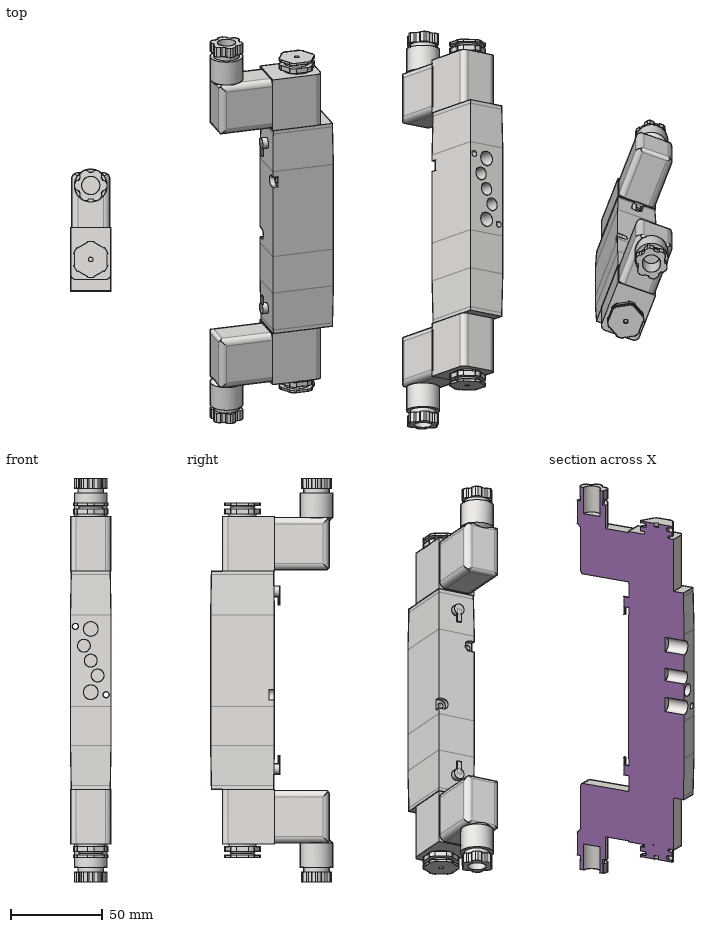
import math

import cadquery as cq


WIDTH = 22.3
DEPTH = 35.0
BODY_LENGTH = 50.0
SPACER_LENGTH = 21.5
CAP_LENGTH = 24.0
CAP_RIM = 2.0
CAP_DRAFT = 1.0
STACK_HALF = (BODY_LENGTH + SPACER_LENGTH) / 2
CAP_END = STACK_HALF + CAP_LENGTH
BODY_BOTTOM = STACK_HALF - BODY_LENGTH
BODY_MID_Z = STACK_HALF - BODY_LENGTH / 2
MID_Y = DEPTH / 2

MAIN_PORT_DIAMETER = 7.0
EXHAUST_PORT_DIAMETER = 8.0
PORT_DEPTH = 12.0
PORT_PITCH = 8.15
PORT_STAGGER = 3.75
EXHAUST_SPACING = 17.3

MOUNT_DIAMETER = 3.2
MOUNT_X = 8.4
MOUNT_SPACING = 18.7
HEAD_RECESS_DIAMETER = 6.0
HEAD_RECESS_DEPTH = 3.0

LEVER_PIN_DIAMETER = 6.0
LEVER_PROJECTION = 3.0
LEVER_Z = 48.6
LEVER_ARM_REACH = 7.3
LEVER_ARM_THICKNESS = 1.0
LEVER_ARM_WIDTH = 2.5

COIL_WIDTH = 22.0
COIL_LENGTH = 30.0
COIL_FRONT_Y = 6.5
COIL_EDGE_RADIUS = 3.0
COIL_END = CAP_END + COIL_LENGTH

NUT_DIAMETER = 19.8
NUT_NECK_DIAMETER = 15.0
NUT_NECK_HEIGHT = 1.3
NUT_LOWER_FLANGE_TOP = 4.0
NUT_UPPER_FLANGE_BOTTOM = 6.0
NUT_HEIGHT = 7.3
NUT_GROOVE_DIAMETER = 14.0
NUT_WAIST_DIAMETER = 12.5
NUT_ACROSS_NOTCHES = 18.0
NUT_NOTCH_WIDTH = 6.4
NUT_HOLE_DIAMETER = 2.5
NUT_HOLE_DEPTH = 2.0

PLUG_WIDTH = 21.0
PLUG_LENGTH = 28.8
PLUG_BACK_Y = 65.0
PLUG_EDGE_RADIUS = 3.5
PLUG_END_RADIUS = 2.0
PLUG_MID_Z = CAP_END + COIL_LENGTH / 2
PLUG_TOP = PLUG_MID_Z + PLUG_LENGTH / 2

GLAND_Y = 58.0
GLAND_DIAMETER = 18.0
GLAND_NECK_DIAMETER = 14.0
GLAND_TAPER_HEIGHT = 2.0
GLAND_BORE_DIAMETER = 10.0
GLAND_BORE_DEPTH = 15.0
GLAND_TOP = 110.5
GLAND_NUT_HEIGHT = 5.5
GLAND_NECK_HEIGHT = 2.5
GLAND_NUT_BOTTOM = GLAND_TOP - GLAND_NUT_HEIGHT
GLAND_SHOULDER = GLAND_NUT_BOTTOM - GLAND_NECK_HEIGHT
GLAND_ACROSS_FLATS = 16.2
GLAND_NOTCH_FLOOR_WIDTH = 2.0
GLAND_NOTCH_MOUTH_WIDTH = 3.6
GLAND_NOTCH_DEPTH = 0.8

SIDES = 6


def block(x_size, y_min, y_max, z_min, z_max):
    """Box centred on X between the given Y and Z limits."""
    box = cq.Workplane("XY").box(x_size, y_max - y_min, z_max - z_min)
    return box.translate((0, (y_min + y_max) / 2, (z_min + z_max) / 2))


def cylinder_z(diameter, y, z_min, z_max):
    """Cylinder along Z on the plane X = 0."""
    return cq.Workplane("XY", origin=(0, y, z_min)).circle(diameter / 2).extrude(z_max - z_min)


def cylinder_y(diameter, x, z, y_min, y_max):
    """Cylinder along Y."""
    solid = cq.Solid.makeCylinder(diameter / 2, y_max - y_min, cq.Vector(x, y_min, z), cq.Vector(0, 1, 0))
    return cq.Workplane(obj=solid)


def join(solid, *others):
    """Union that keeps the seam lines between neighbouring parts."""
    for other in others:
        solid = solid.union(other, clean=False)
    return solid


def cut_ports(body):
    ports = [
        (0, EXHAUST_SPACING, EXHAUST_PORT_DIAMETER),
        (-PORT_STAGGER, PORT_PITCH, MAIN_PORT_DIAMETER),
        (0, 0, MAIN_PORT_DIAMETER),
        (PORT_STAGGER, -PORT_PITCH, MAIN_PORT_DIAMETER),
        (0, -EXHAUST_SPACING, EXHAUST_PORT_DIAMETER),
    ]
    for x, z_offset, diameter in ports:
        body = body.cut(cylinder_y(diameter, x, BODY_MID_Z + z_offset, 0, PORT_DEPTH))
    return body


def cut_mounting_holes(body):
    recess_floor = DEPTH - HEAD_RECESS_DEPTH
    for side in (-1, 1):
        x = side * MOUNT_X
        z = BODY_MID_Z - side * MOUNT_SPACING
        hole = cylinder_y(MOUNT_DIAMETER, x, z, 0, DEPTH)
        head = cylinder_y(HEAD_RECESS_DIAMETER, x, z, recess_floor, DEPTH)
        run_out = block(
            HEAD_RECESS_DIAMETER,
            recess_floor,
            DEPTH,
            z - HEAD_RECESS_DIAMETER / 2,
            z + HEAD_RECESS_DIAMETER / 2,
        ).translate((x + side * HEAD_RECESS_DIAMETER / 2, 0, 0))
        body = body.cut(hole).cut(head).cut(run_out)
    return body


def make_body():
    body = block(WIDTH, 0, DEPTH, BODY_BOTTOM, STACK_HALF)
    return cut_mounting_holes(cut_ports(body))


def make_cap():
    """End cap drafted on all four sides, with a straight rim at its outer end."""
    drafted_length = CAP_LENGTH - CAP_RIM
    inset = drafted_length * math.tan(math.radians(CAP_DRAFT))
    drafted = (
        cq.Workplane("XY", origin=(0, MID_Y, STACK_HALF))
        .rect(WIDTH, DEPTH)
        .extrude(drafted_length, taper=CAP_DRAFT)
    )
    rim = block(WIDTH - 2 * inset, inset, DEPTH - inset, CAP_END - CAP_RIM, CAP_END)
    return join(drafted, rim)


def make_lever():
    outer_y = DEPTH + LEVER_PROJECTION
    pin = cylinder_y(LEVER_PIN_DIAMETER, 0, LEVER_Z, MID_Y, outer_y)
    arm = block(LEVER_ARM_WIDTH, outer_y - LEVER_ARM_THICKNESS, outer_y, LEVER_Z - LEVER_ARM_REACH, LEVER_Z)
    return join(pin, arm)


def make_coil():
    coil = block(COIL_WIDTH, COIL_FRONT_Y, DEPTH, CAP_END, COIL_END)
    return coil.faces("<Y").edges("|Z").fillet(COIL_EDGE_RADIUS)


def make_coil_nut():
    waist_height = (NUT_LOWER_FLANGE_TOP + NUT_UPPER_FLANGE_BOTTOM) / 2
    profile = [
        (0, 0),
        (NUT_NECK_DIAMETER / 2, 0),
        (NUT_NECK_DIAMETER / 2, NUT_NECK_HEIGHT),
        (NUT_DIAMETER / 2, NUT_NECK_HEIGHT),
        (NUT_DIAMETER / 2, NUT_LOWER_FLANGE_TOP),
        (NUT_GROOVE_DIAMETER / 2, NUT_LOWER_FLANGE_TOP),
        (NUT_WAIST_DIAMETER / 2, waist_height),
        (NUT_GROOVE_DIAMETER / 2, NUT_UPPER_FLANGE_BOTTOM),
        (NUT_DIAMETER / 2, NUT_UPPER_FLANGE_BOTTOM),
        (NUT_DIAMETER / 2, NUT_HEIGHT),
        (0, NUT_HEIGHT),
    ]
    nut = cq.Workplane("XZ").polyline(profile).close().revolve(360, (0, 0), (0, 1))
    notch = (
        cq.Workplane("XY")
        .box(NUT_DIAMETER, NUT_NOTCH_WIDTH, NUT_HEIGHT, centered=(False, True, False))
        .translate((NUT_ACROSS_NOTCHES / 2, 0, 0))
    )
    for index in range(SIDES):
        nut = nut.cut(notch.rotate((0, 0, 0), (0, 0, 1), index * 360 / SIDES))
    nut = nut.cut(cylinder_z(NUT_HOLE_DIAMETER, 0, NUT_HEIGHT - NUT_HOLE_DEPTH, NUT_HEIGHT))
    return nut.translate((0, MID_Y, COIL_END))


def make_plug():
    plug = block(PLUG_WIDTH, MID_Y, PLUG_BACK_Y, PLUG_TOP - PLUG_LENGTH, PLUG_TOP)
    rounded = plug.edges("|Y").fillet(PLUG_EDGE_RADIUS)
    rounded = rounded.intersect(plug.faces(">Y").edges("|Z").fillet(PLUG_EDGE_RADIUS))
    return rounded.intersect(plug.faces(">Y").edges("|X").fillet(PLUG_END_RADIUS))


def make_gland_nut():
    """Hexagonal cap nut with rounded corners and a shallow notch in the middle of each flat."""
    across_corners = GLAND_ACROSS_FLATS / math.cos(math.pi / SIDES)
    nut = cq.Workplane("XY").polygon(SIDES, across_corners).extrude(GLAND_NUT_HEIGHT)
    nut = nut.intersect(cylinder_z(GLAND_DIAMETER, 0, 0, GLAND_NUT_HEIGHT))
    flat_y = GLAND_ACROSS_FLATS / 2
    floor_y = flat_y - GLAND_NOTCH_DEPTH
    notch = (
        cq.Workplane("XY")
        .moveTo(-GLAND_NOTCH_MOUTH_WIDTH / 2, flat_y)
        .lineTo(-GLAND_NOTCH_FLOOR_WIDTH / 2, floor_y)
        .lineTo(GLAND_NOTCH_FLOOR_WIDTH / 2, floor_y)
        .lineTo(GLAND_NOTCH_MOUTH_WIDTH / 2, flat_y)
        .close()
        .extrude(GLAND_NUT_HEIGHT)
    )
    for index in range(SIDES):
        nut = nut.cut(notch.rotate((0, 0, 0), (0, 0, 1), index * 360 / SIDES))
    return nut.translate((0, GLAND_Y, GLAND_NUT_BOTTOM))


def make_gland():
    cone = cq.Solid.makeCone(
        GLAND_NECK_DIAMETER / 2,
        GLAND_DIAMETER / 2,
        GLAND_TAPER_HEIGHT,
        cq.Vector(0, GLAND_Y, PLUG_TOP - GLAND_TAPER_HEIGHT),
    )
    barrel = cylinder_z(GLAND_DIAMETER, GLAND_Y, PLUG_TOP, GLAND_SHOULDER)
    neck = cylinder_z(GLAND_NECK_DIAMETER, GLAND_Y, GLAND_SHOULDER, GLAND_NUT_BOTTOM)
    gland = join(cq.Workplane(obj=cone), barrel, neck, make_gland_nut())
    return gland.cut(cylinder_z(GLAND_BORE_DIAMETER, GLAND_Y, GLAND_TOP - GLAND_BORE_DEPTH, GLAND_TOP))


def make_end():
    """Everything beyond the +Z end of the body and spacer stack."""
    return join(make_cap(), make_lever(), make_coil(), make_coil_nut(), make_plug(), make_gland())


spacer = block(WIDTH, 0, DEPTH, -STACK_HALF, BODY_BOTTOM)
upper_end = make_end()
result = join(make_body(), spacer, upper_end, upper_end.mirror("XY"))